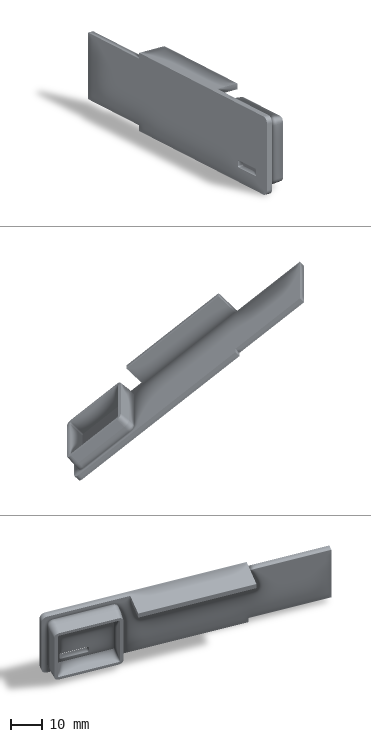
import cadquery as cq

LENGTH = 98.0
HEIGHT = 27.0
PLATE_THICKNESS = 2.0
PLATE_CORNER_RADIUS = 2.0

TONGUE_LENGTH = 28.0
TONGUE_BOTTOM = 2.0
TONGUE_TOP = 25.0

SHELF_LENGTH = 40.0
SHELF_DEPTH = 10.0
SHELF_THICKNESS = HEIGHT - TONGUE_TOP

BLOCK_MARGIN = 2.0
BLOCK_LENGTH = 24.0
BLOCK_CORNER_RADIUS = 2.0
BLOCK_BASE_TOP = 4.5
BLOCK_TOP = 8.0
BLOCK_DRAFT_ANGLE = 5.0
BLOCK_WALL = 1.5

SLOT_LEFT = 82.0
SLOT_RIGHT = 92.0
SLOT_BOTTOM = 5.0
SLOT_TOP = 7.5
SLOT_CORNER_RADIUS = 0.5


def box_between(x_range, y_range, z_range):
    """Box spanning the given (low, high) ranges."""
    size = [high - low for low, high in (x_range, y_range, z_range)]
    corner = (x_range[0], y_range[0], z_range[0])
    return cq.Workplane("XY").box(*size, centered=False).translate(corner)


def make_plate():
    body = box_between((TONGUE_LENGTH, LENGTH), (0, PLATE_THICKNESS), (0, HEIGHT))
    body = body.edges("|Y and >X").fillet(PLATE_CORNER_RADIUS)
    tongue = box_between((0, TONGUE_LENGTH), (0, PLATE_THICKNESS), (TONGUE_BOTTOM, TONGUE_TOP))
    return body.union(tongue)


def make_shelf():
    return box_between(
        (TONGUE_LENGTH, TONGUE_LENGTH + SHELF_LENGTH),
        (0, SHELF_DEPTH),
        (HEIGHT - SHELF_THICKNESS, HEIGHT),
    )


def block_layer(y_start, y_end, inset=0, draft_angle=0):
    """Rounded rectangle grown in +Y, inset from the block outline and leaning inward by the draft."""
    length = BLOCK_LENGTH - 2 * inset
    height = HEIGHT - 2 * BLOCK_MARGIN - 2 * inset
    center_x = LENGTH - BLOCK_MARGIN - BLOCK_LENGTH / 2
    outline = cq.Sketch().rect(length, height).vertices().fillet(BLOCK_CORNER_RADIUS - inset)
    plane = cq.Workplane("XZ", origin=(center_x, y_start, HEIGHT / 2))
    return plane.placeSketch(outline).extrude(y_start - y_end, taper=draft_angle)


def make_block():
    base = block_layer(0, BLOCK_BASE_TOP)
    upper = block_layer(BLOCK_BASE_TOP, BLOCK_TOP, draft_angle=BLOCK_DRAFT_ANGLE)
    return base.union(upper)


def make_cavity():
    return block_layer(PLATE_THICKNESS, BLOCK_TOP, inset=BLOCK_WALL)


def make_slot():
    slot = box_between((SLOT_LEFT, SLOT_RIGHT), (0, PLATE_THICKNESS), (SLOT_BOTTOM, SLOT_TOP))
    return slot.edges("|Y").fillet(SLOT_CORNER_RADIUS)


solid_part = make_plate().union(make_shelf()).union(make_block())
result = solid_part.cut(make_cavity()).cut(make_slot())